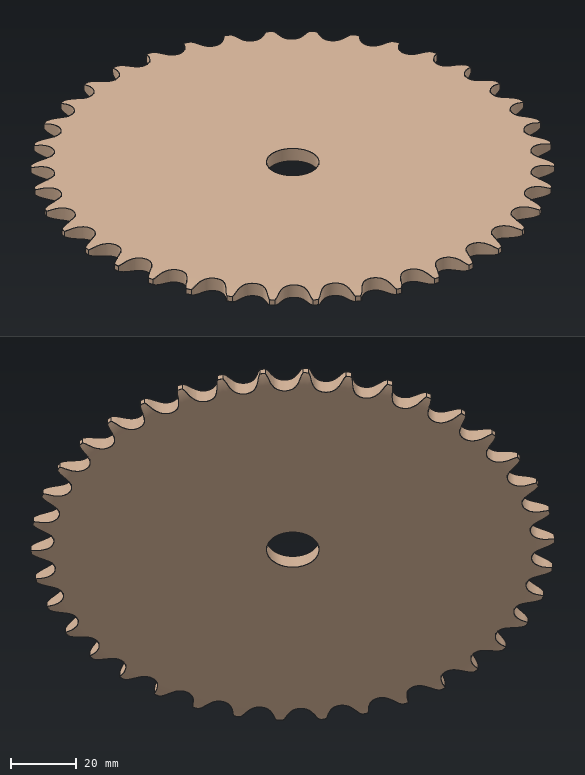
import cadquery as cq
import math


chain_pitch = 12.7
tooth_count = 38
roller_diameter = 7.75
thickness = 4.5
tip_diameter = 159.8
bore_diameter = 16.0
seat_allowance = 0.0381
bevel_radius = 13.0
bevel_depth = 1.3
cutter_overrun = 0.4

half_pitch_angle = math.pi / tooth_count
pitch_radius = chain_pitch / 2 / math.sin(half_pitch_angle)
tip_radius = tip_diameter / 2
half_thickness = thickness / 2

seat_side_angle = 35 + 60 / tooth_count
working_angle = 18 - 56 / tooth_count
topping_angle = 17 - 64 / tooth_count
working_center_reach = 0.8 * roller_diameter
topping_center_reach = 1.4 * roller_diameter
seat_radius = 0.5025 * roller_diameter + seat_allowance
working_radius = seat_radius + working_center_reach
center_span = (
    working_center_reach * math.cos(math.radians(working_angle))
    + topping_center_reach * math.cos(math.radians(topping_angle))
)
topping_radius = center_span - working_radius
flat_length = (
    topping_center_reach * math.sin(math.radians(topping_angle))
    - working_center_reach * math.sin(math.radians(working_angle))
)

bevel_length = math.sqrt(bevel_radius**2 - (bevel_radius - bevel_depth) ** 2)
bevel_start_radius = tip_radius - bevel_length
tip_half_thickness = half_thickness - bevel_depth


def make_blank():
    """Disc whose rim is rounded on both sides, tangent to the flat faces."""
    bevel_center_z = half_thickness - bevel_radius
    middle_angle = math.asin(bevel_length / bevel_radius) / 2
    bevel_middle_r = bevel_start_radius + bevel_radius * math.sin(middle_angle)
    bevel_middle_z = bevel_center_z + bevel_radius * math.cos(middle_angle)
    section = (
        cq.Workplane("XZ")
        .moveTo(0, -half_thickness)
        .lineTo(bevel_start_radius, -half_thickness)
        .threePointArc((bevel_middle_r, -bevel_middle_z), (tip_radius, -tip_half_thickness))
        .lineTo(tip_radius, tip_half_thickness)
        .threePointArc((bevel_middle_r, bevel_middle_z), (bevel_start_radius, half_thickness))
        .lineTo(0, half_thickness)
        .close()
    )
    return section.revolve(360, (0, 0, 0), (0, 1, 0))


def offset(point, distance, angle):
    """Point moved by a distance; the angle in degrees starts at -X and turns towards +Y."""
    direction = math.radians(angle)
    return (point[0] - distance * math.cos(direction), point[1] + distance * math.sin(direction))


def mirrored(point):
    """Point reflected across the X axis."""
    return (point[0], -point[1])


def make_gap_cutter():
    """Gap between two teeth, lying on +X: roller seat, working curves, flats and topping curves."""
    seat_center = (pitch_radius, 0)
    seat_end_angle = 90 - seat_side_angle
    working_end_angle = seat_end_angle + working_angle

    seat_bottom = offset(seat_center, seat_radius, 0)
    seat_end = offset(seat_center, seat_radius, seat_end_angle)
    working_center = offset(seat_center, -working_center_reach, seat_end_angle)
    working_middle = offset(working_center, working_radius, seat_end_angle + working_angle / 2)
    working_end = offset(working_center, working_radius, working_end_angle)

    flat_end = offset(working_end, flat_length, working_end_angle + 90)
    topping_center = offset(flat_end, topping_radius, working_end_angle)

    outer_radius = tip_radius + cutter_overrun
    center_distance = math.hypot(*topping_center)
    square_sum = outer_radius**2 + center_distance**2 - topping_radius**2
    angle_from_center = math.acos(square_sum / (2 * outer_radius * center_distance))
    end_angle = math.atan2(topping_center[1], topping_center[0]) - angle_from_center
    topping_end = (outer_radius * math.cos(end_angle), outer_radius * math.sin(end_angle))

    chord_x = (flat_end[0] + topping_end[0]) / 2 - topping_center[0]
    chord_y = (flat_end[1] + topping_end[1]) / 2 - topping_center[1]
    stretch = topping_radius / math.hypot(chord_x, chord_y)
    topping_middle = (topping_center[0] + stretch * chord_x, topping_center[1] + stretch * chord_y)

    return (
        cq.Workplane("XY", origin=(0, 0, -half_thickness))
        .moveTo(*mirrored(topping_end))
        .threePointArc(mirrored(topping_middle), mirrored(flat_end))
        .lineTo(*mirrored(working_end))
        .threePointArc(mirrored(working_middle), mirrored(seat_end))
        .threePointArc(seat_bottom, seat_end)
        .threePointArc(working_middle, working_end)
        .lineTo(*flat_end)
        .threePointArc(topping_middle, topping_end)
        .threePointArc((outer_radius, 0), mirrored(topping_end))
        .close()
        .extrude(thickness)
    )


def cut_teeth(blank):
    """Cut every gap, placed so that a tooth is centred on +X."""
    cutter = make_gap_cutter().val()
    axis_start = (0, 0, 0)
    axis_end = (0, 0, 1)
    gaps = []
    for index in range(tooth_count):
        angle = math.degrees((2 * index + 1) * half_pitch_angle)
        gaps.append(cutter.rotate(axis_start, axis_end, angle))
    return blank.cut(cq.Workplane(cq.Compound.makeCompound(gaps)))


def cut_bore(body):
    """Plain through bore on the axis."""
    bore = (
        cq.Workplane("XY", origin=(0, 0, -half_thickness))
        .circle(bore_diameter / 2)
        .extrude(thickness)
    )
    return body.cut(bore)


result = cut_bore(cut_teeth(make_blank()))